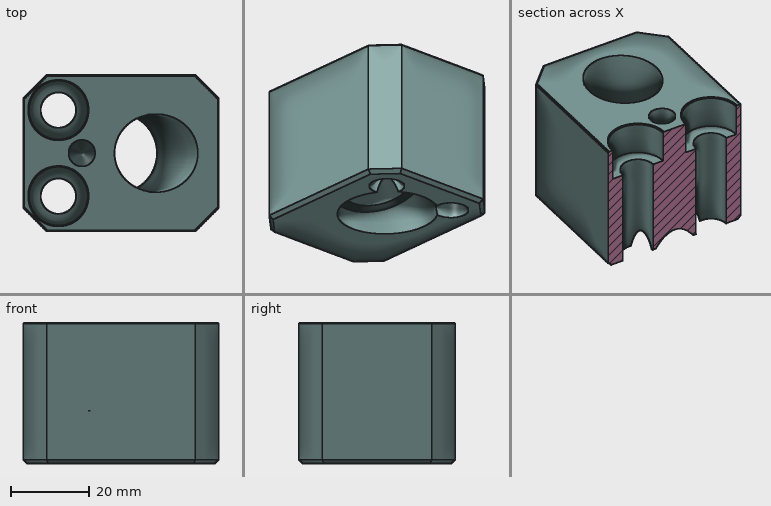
import cadquery as cq
import math

length = 50.0
width = 40.0
height = 36.0
corner_cut = 6.0
top_chamfer = 0.3
bottom_chamfer = 1.0

screw_x = -16.0
screw_y = 11.0
screw_hole_dia = 9.0
counterbore_dia = 15.0
counterbore_depth = 9.0
counterbore_chamfer = 0.25

blind_x = -10.0
blind_dia = 6.8
blind_depth = 10.0
drill_point_angle = 118.0

bore_x = 9.0
bore_dia = 20.0
bore_tilt = 20.0
bore_clear_length = 27.0
bore_counterbore_dia = 25.0


def make_block():
    """Rectangular block with cut corners and chamfered rims."""
    block = cq.Workplane("XY").box(length, width, height, centered=(True, True, False))
    block = block.edges("|Z").chamfer(corner_cut)
    block = block.faces(">Z").edges().chamfer(top_chamfer)
    return block.faces("<Z").edges().chamfer(bottom_chamfer)


def make_screw_hole(y):
    """Through hole, counterbore and rim chamfer as one revolved cutter."""
    hole_radius = screw_hole_dia / 2
    rim_radius = counterbore_dia / 2
    floor_z = height - counterbore_depth
    profile = (
        cq.Workplane("XZ")
        .moveTo(0, 0)
        .lineTo(hole_radius, 0)
        .lineTo(hole_radius, floor_z)
        .lineTo(rim_radius, floor_z)
        .lineTo(rim_radius, height - counterbore_chamfer)
        .lineTo(rim_radius + counterbore_chamfer, height)
        .lineTo(0, height)
        .close()
    )
    cutter = profile.revolve(360, (0, 0, 0), (0, 1, 0))
    return cutter.translate((screw_x, y, 0))


def make_blind_hole():
    """Drilled hole ending in a conical point."""
    radius = blind_dia / 2
    point_height = radius / math.tan(math.radians(drill_point_angle / 2))
    shoulder_z = height - blind_depth
    profile = (
        cq.Workplane("XZ")
        .moveTo(0, height)
        .lineTo(radius, height)
        .lineTo(radius, shoulder_z)
        .lineTo(0, shoulder_z - point_height)
        .close()
    )
    cutter = profile.revolve(360, (0, 0, 0), (0, 1, 0))
    return cutter.translate((blind_x, 0, 0))


def make_inclined_bore():
    """Counterbored cylinder tilted about Y, its axis crossing the top face at bore_x."""
    overrun = height
    bore = (
        cq.Workplane("XY")
        .workplane(offset=overrun)
        .circle(bore_dia / 2)
        .extrude(-overrun - bore_clear_length)
    )
    counterbore = (
        cq.Workplane("XY")
        .workplane(offset=-bore_clear_length)
        .circle(bore_counterbore_dia / 2)
        .extrude(-overrun)
    )
    cutter = bore.union(counterbore)
    cutter = cutter.rotate((0, 0, 0), (0, 1, 0), bore_tilt)
    return cutter.translate((bore_x, 0, height))


result = make_block()
for side in (-1, 1):
    result = result.cut(make_screw_hole(side * screw_y))
result = result.cut(make_blind_hole())
result = result.cut(make_inclined_bore())